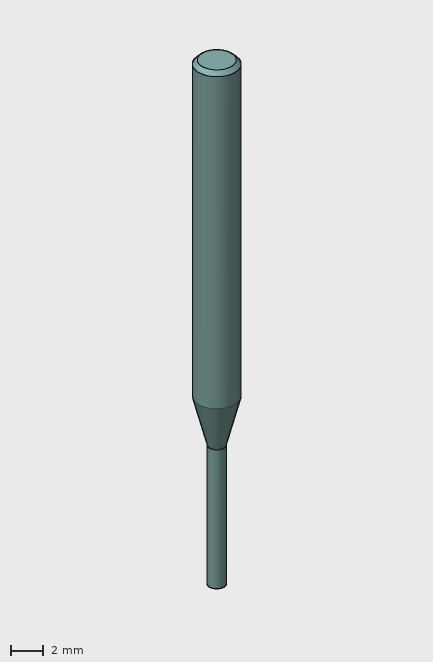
import cadquery as cq
import math

total_length = 38.0

shank_radius = 1.5
shank_chamfer = 0.3
taper_top_z = 13.8
taper_half_angle = 14.7
collar_length = 0.08

drill_radius = 0.6
point_angle = 130.0

point_height = drill_radius / math.tan(math.radians(point_angle / 2))
taper_length = (shank_radius - drill_radius) / math.tan(math.radians(taper_half_angle))
taper_bottom_z = taper_top_z - taper_length
joint_z = taper_bottom_z - collar_length


def revolve_profile(points):
    """Turn an (r, z) half-profile once around the Z axis."""
    return cq.Workplane("XZ").polyline(points).close().revolve(360, (0, 0), (0, 1))


def make_shank():
    """Chamfered cylinder that tapers down to a short collar at the drill."""
    return revolve_profile([
        (0, joint_z),
        (drill_radius, joint_z),
        (drill_radius, taper_bottom_z),
        (shank_radius, taper_top_z),
        (shank_radius, total_length - shank_chamfer),
        (shank_radius - shank_chamfer, total_length),
        (0, total_length),
    ])


def make_drill():
    """Slim cylinder with a conical point, butted against the shank collar."""
    return revolve_profile([
        (0, 0),
        (drill_radius, point_height),
        (drill_radius, joint_z),
        (0, joint_z),
    ])


shank = make_shank()
drill = make_drill()

result = cq.Compound.makeCompound([shank.val(), drill.val()])